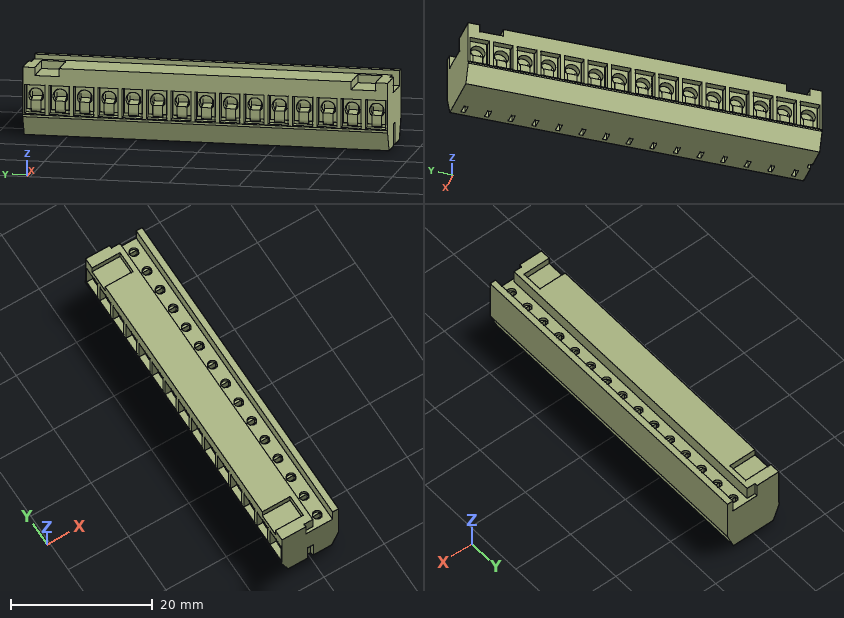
import cadquery as cq

pole_count = 15
length = 52.5
depth = 9.5
height = 10.0
pitch = length / pole_count
end_y = length / 2

face_x = 0.1
ledge_top_z = 3.15
chamfer_top_z = 2.85
chamfer_width = 1.1

channel_x0 = 5.5
channel_x1 = 8.5
channel_z = 7.75
corner_notch_x0 = 4.1
corner_notch_length = 0.45

recess_x1 = 4.7
recess_z = 8.8

groove_centre_x = 4.85
groove_outer_width = 0.95
groove_inner_width = 0.65
groove_depth = 0.5
groove_top_z = 3.15

pocket_width = 2.9
pocket_z0 = 3.3
pocket_z1 = 7.45
pocket_depth = 1.05
pocket_back_x = face_x + pocket_depth

panel_width = 2.7
panel_z0 = 3.8
panel_thickness = 0.15
panel_x = pocket_back_x - panel_thickness
wire_radius = 1.05
wire_z = 5.8
wire_depth = 0.95
wire_back_x = panel_x + wire_depth

leaf_width = 1.4
leaf_proud = 0.05
leaf_root_length = 0.25
leaf_front_x = panel_x - leaf_proud
leaf_top_z = 6.1
leaf_step_back_z = 5.5
leaf_step_front_z = 5.1
leaf_lean = 0.1
leaf_curl_z = 3.95
leaf_curl_depth = 0.35
leaf_back_x = wire_back_x + leaf_lean
leaf_root_x = leaf_back_x + leaf_root_length

screw_x = 7.05
screw_radius = 0.7
screw_depth = 0.5
pin_slot_length = 2 * screw_radius
pin_slot_width = 0.6


def block(x0, x1, y0, y1, z0, z1):
    """Axis-aligned box between two opposite corners."""
    return cq.Workplane("XY").box(x1 - x0, y1 - y0, z1 - z0, centered=False).translate((x0, y0, z0))


def centred_block(x0, x1, y, width, z0, z1):
    """Box centred on a given Y position."""
    return block(x0, x1, y - width / 2, y + width / 2, z0, z1)


def make_housing():
    """Full-length housing profile with chamfered lower edges and a front ledge."""
    profile = [
        (chamfer_width, 0),
        (depth - chamfer_width, 0),
        (depth, chamfer_top_z),
        (depth, height),
        (channel_x1, height),
        (channel_x1, channel_z),
        (channel_x0, channel_z),
        (channel_x0, height),
        (face_x, height),
        (face_x, ledge_top_z),
        (0, ledge_top_z),
        (0, chamfer_top_z),
    ]
    return cq.Workplane("XZ").polyline(profile).close().extrude(end_y, both=True)


def make_end_cuts(side):
    """Channel corner notch and label recess at one end; side is -1 or +1."""
    notch_y = side * (end_y - corner_notch_length / 2)
    notch = centred_block(corner_notch_x0, channel_x0, notch_y, corner_notch_length, channel_z, height)
    recess = centred_block(face_x, recess_x1, side * (end_y - pitch), pitch, recess_z, height)
    return notch.union(recess)


def make_key_groove():
    """Vertical groove that narrows towards its floor."""
    outer = groove_outer_width / 2
    inner = groove_inner_width / 2
    section = [
        (groove_centre_x - outer, -end_y),
        (groove_centre_x + outer, -end_y),
        (groove_centre_x + inner, -end_y + groove_depth),
        (groove_centre_x - inner, -end_y + groove_depth),
    ]
    return cq.Workplane("XY").polyline(section).close().extrude(groove_top_z)


def make_wire_entry(y):
    """Pocket around the terminal panel, the wire hole and the throat above the leaf."""
    pocket = centred_block(face_x, pocket_back_x, y, pocket_width, pocket_z0, pocket_z1)
    panel = centred_block(panel_x, pocket_back_x, y, panel_width, panel_z0, pocket_z1)
    hole = (
        cq.Workplane("YZ", origin=(panel_x, 0, 0))
        .center(y, wire_z)
        .circle(wire_radius)
        .extrude(wire_depth)
    )
    throat = centred_block(panel_x, leaf_back_x, y, leaf_width, leaf_step_front_z, leaf_top_z)
    return pocket.cut(panel).union(hole).union(throat)


def make_leaf(y):
    """Contact leaf: leaning upper part, sloped step, upright front and curled foot."""
    foot_radius = 2 * leaf_curl_depth
    return (
        cq.Workplane("XZ", origin=(0, y + leaf_width / 2, 0))
        .moveTo(leaf_root_x, leaf_top_z)
        .lineTo(wire_back_x, leaf_top_z)
        .lineTo(leaf_back_x, leaf_step_back_z)
        .lineTo(leaf_front_x, leaf_step_front_z)
        .lineTo(leaf_front_x, leaf_curl_z)
        .radiusArc((leaf_front_x + leaf_curl_depth, pocket_z0), -foot_radius)
        .lineTo(leaf_root_x, pocket_z0)
        .close()
        .extrude(leaf_width)
    )


def make_contact_opening(y):
    """Screw hole from the channel floor and the pin slot that runs out of the base."""
    screw = (
        cq.Workplane("XY", origin=(screw_x, y, channel_z - screw_depth))
        .circle(screw_radius)
        .extrude(screw_depth)
    )
    half_slot = pin_slot_length / 2
    slot = centred_block(
        screw_x - half_slot, screw_x + half_slot, y, pin_slot_width, 0, channel_z - screw_depth
    )
    return screw.union(slot)


result = make_housing().cut(make_key_groove())

for end_side in (-1, 1):
    result = result.cut(make_end_cuts(end_side))

for pole in range(pole_count):
    pole_y = (pole + 0.5) * pitch - end_y
    result = result.cut(make_wire_entry(pole_y))
    result = result.union(make_leaf(pole_y))
    result = result.cut(make_contact_opening(pole_y))